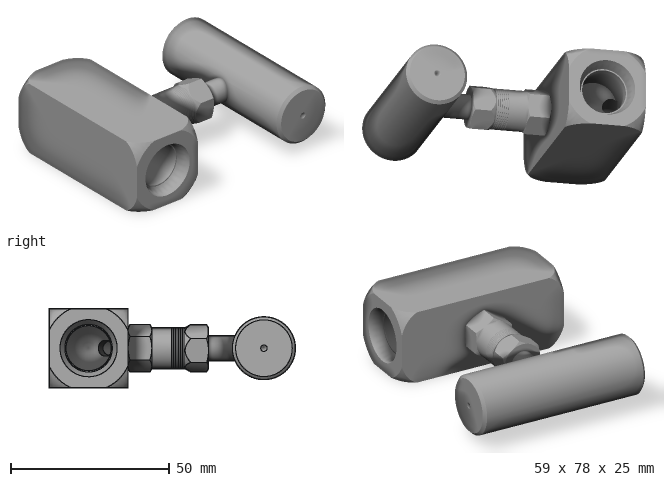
import cadquery as cq
import math

overall_depth = 78.0

body_length = 59.0
body_width = 25.0
body_end_circle = 27.4
corner_round_radius = 10.0
turned_diameter = 36.2

port_mouth_diameter = 18.1
port_throat_diameter = 15.05
port_taper_depth = 4.5
port_bore_diameter = 14.3
port_bore_depth = 17.15
drill_point_angle = 118.0

passage_diameter = 5.0
passage_offset = 5.4
passage_slant = 12.0
seat_bore_diameter = 6.5
seat_bore_length = 19.5

hex_flats = 13.0
hex_half_angle = 30.0
lower_nut_top = 7.5
sleeve_diameter = hex_flats
thread_start = 13.7
cap_nut_bottom = 17.7
cap_nut_top = 25.4
cap_nut_turn = 6.5
nut_chamfer_angle = 30.0
cap_nut_bevel_angle = 60.0
cap_nut_bevel_rim = 12.6

groove_count = 6
groove_width = 0.15
groove_depth = 0.15

stem_diameter = 8.0
handle_diameter = 20.0
handle_length = body_length
handle_chamfer = 1.0
center_hole_diameter = 2.0
center_hole_depth = 1.0

body_end = body_length / 2
bonnet_base = body_width / 2
handle_axis_y = overall_depth - bonnet_base - handle_diameter / 2
hex_corners = hex_flats / math.cos(math.radians(hex_half_angle))


def revolve_about_x(points):
    """Solid of revolution about X from (x, radius) points."""
    return cq.Workplane("XY").polyline(points).close().revolve(360, (0, 0), (1, 0))


def revolve_about_y(points):
    """Solid of revolution about Y from (radius, y) points."""
    return cq.Workplane("XY").polyline(points).close().revolve(360, (0, 0), (0, 1))


def cylinder_along_y(diameter, start, end):
    """Round bar about the Y axis between two Y stations."""
    radius = diameter / 2
    return revolve_about_y([(0, start), (radius, start), (radius, end), (0, end)])


def make_body():
    """Square bar whose corners are rounded off by turning both ends about X."""
    bar = cq.Workplane("XY").box(body_length, body_width, body_width)
    rim = body_end_circle / 2
    outer = turned_diameter / 2

    arc_center = outer - corner_round_radius
    arc_reach = math.sqrt(corner_round_radius**2 - (rim - arc_center) ** 2)
    arc_start = math.asin(arc_reach / corner_round_radius)
    shoulder = body_end - arc_reach
    middle_x = shoulder + corner_round_radius * math.sin(arc_start / 2)
    middle_radius = arc_center + corner_round_radius * math.cos(arc_start / 2)
    envelope = (
        cq.Workplane("XY")
        .moveTo(-body_end, 0)
        .lineTo(-body_end, rim)
        .threePointArc((-middle_x, middle_radius), (-shoulder, outer))
        .lineTo(shoulder, outer)
        .threePointArc((middle_x, middle_radius), (body_end, rim))
        .lineTo(body_end, 0)
        .close()
        .revolve(360, (0, 0), (1, 0))
    )
    return bar.intersect(envelope)


def make_port():
    """Cutter for the -X port: tapered mouth, bore, drill point and slanted passage."""
    taper_end = -body_end + port_taper_depth
    bore_end = -body_end + port_bore_depth
    bore_radius = port_bore_diameter / 2
    point_length = bore_radius / math.tan(math.radians(drill_point_angle / 2))
    port = revolve_about_x([
        (-body_end, 0),
        (-body_end, port_mouth_diameter / 2),
        (taper_end, port_throat_diameter / 2),
        (taper_end, bore_radius),
        (bore_end, bore_radius),
        (bore_end + point_length, 0),
    ])

    entry_x = bore_end + point_length * (1 - passage_offset / bore_radius)
    slant = math.radians(passage_slant)
    entry = cq.Vector(entry_x, -passage_offset, 0)
    direction = cq.Vector(math.cos(slant), -math.sin(slant), 0)
    lead_in = passage_diameter / 2
    passage = cq.Solid.makeCylinder(
        passage_diameter / 2,
        lead_in - entry_x / math.cos(slant),
        entry - direction * lead_in,
        direction,
    )
    return port.union(cq.Workplane(passage))


def cut_flow_path(body):
    """Cut both ports, half a turn apart about Z, and the closed bore that joins them."""
    port = make_port()
    seat_bore = cylinder_along_y(seat_bore_diameter, -seat_bore_length / 2, seat_bore_length / 2)
    opposite_port = port.rotate((0, 0, 0), (0, 0, 1), 180)
    return body.cut(port).cut(opposite_port).cut(seat_bore)


def make_nut(start, end, turn, bottom_rim, bottom_angle):
    """Hexagonal nut along Y, corners turned down at both ends; a corner faces +Z at zero turn."""
    height = end - start
    hexagon = (
        cq.Workplane("XZ", origin=(0, start, 0))
        .polygon(6, hex_corners)
        .extrude(-height)
        .rotate((0, 0, 0), (0, 1, 0), hex_half_angle + turn)
    )
    corner = hex_corners / 2
    bottom_rise = (corner - bottom_rim / 2) * math.tan(math.radians(bottom_angle))
    top_rise = (corner - hex_flats / 2) * math.tan(math.radians(nut_chamfer_angle))
    envelope = revolve_about_y([
        (0, start),
        (bottom_rim / 2, start),
        (corner, start + bottom_rise),
        (corner, end - top_rise),
        (hex_flats / 2, end),
        (0, end),
    ])
    return hexagon.intersect(envelope)


def make_sleeve():
    """Round sleeve between the nuts, ringed with grooves below the cap nut."""
    radius = sleeve_diameter / 2
    pitch = (cap_nut_bottom - thread_start) / groove_count
    outline = [(0, bonnet_base), (radius, bonnet_base)]
    for index in range(groove_count):
        groove_start = bonnet_base + thread_start + index * pitch
        outline.append((radius, groove_start))
        outline.append((radius - groove_depth, groove_start + groove_width / 2))
        outline.append((radius, groove_start + groove_width))
    top = bonnet_base + cap_nut_bottom
    outline += [(radius, top), (0, top)]
    return revolve_about_y(outline)


def make_bonnet():
    """Lower nut, threaded sleeve and cap nut stacked on the body's +Y face."""
    lower_nut = make_nut(
        bonnet_base, bonnet_base + lower_nut_top, 0, hex_flats, nut_chamfer_angle
    )
    cap_nut = make_nut(
        bonnet_base + cap_nut_bottom,
        bonnet_base + cap_nut_top,
        cap_nut_turn,
        cap_nut_bevel_rim,
        cap_nut_bevel_angle,
    )
    return lower_nut.union(make_sleeve()).union(cap_nut)


def make_handle():
    """Chamfered round bar with a small conical center hole in each end."""
    handle = (
        cq.Workplane("YZ", origin=(-handle_length / 2, handle_axis_y, 0))
        .circle(handle_diameter / 2)
        .extrude(handle_length)
        .edges("%CIRCLE")
        .chamfer(handle_chamfer)
    )
    end = handle_length / 2
    spot = revolve_about_x([(-end, 0), (-end, center_hole_diameter / 2), (-end + center_hole_depth, 0)])
    spot = spot.translate((0, handle_axis_y, 0))
    return handle.cut(spot).cut(spot.mirror("YZ"))


stem = cylinder_along_y(stem_diameter, bonnet_base + cap_nut_top, handle_axis_y)

result = cut_flow_path(make_body()).union(make_bonnet()).union(stem).union(make_handle())